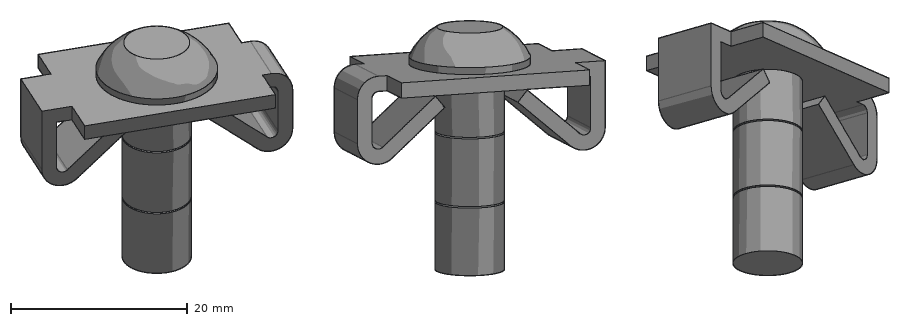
import cadquery as cq
import math

overall_length = 29.97
plate_width = 17.02
plate_length = 22.78
thickness = 1.77
tab_width = 7.7
bend_radius = 2.55
inner_radius = bend_radius - thickness
hook_depth = 10.2
leg_angle = math.radians(40.6)
leg_length = 8.4

head_radius = 6.92
head_flat_radius = 3.75
head_height = 4.2
head_rim_height = 0.8

shank_radius = 3.95
shank_bottom = -23.83
segment_pitch = 8.0
segment_gap = 0.18
segment_length = segment_pitch - segment_gap
loose_segment_count = 2
stub_bottom = shank_bottom + loose_segment_count * segment_pitch


def make_plate():
    return (
        cq.Workplane("XY")
        .rect(plate_width, plate_length)
        .extrude(-thickness)
    )


def make_hook(rounded_top):
    """Tab at the +Y end: out, down, around the bend and back up along a sloping leg."""
    end = overall_length / 2
    root = plate_length / 2
    bend_y = end - bend_radius
    bend_z = bend_radius - hook_depth

    def on_bend(radius, angle):
        return (bend_y + radius * math.cos(angle), bend_z + radius * math.sin(angle))

    def along_leg(point):
        y, z = point
        return (y - leg_length * math.cos(leg_angle), z + leg_length * math.sin(leg_angle))

    stop_angle = -math.pi / 2 - leg_angle
    middle_angle = stop_angle / 2
    outer_stop = on_bend(bend_radius, stop_angle)
    inner_stop = on_bend(inner_radius, stop_angle)

    hook = (
        cq.Workplane("YZ")
        .moveTo(root, 0)
        .lineTo(end, 0)
        .lineTo(end, bend_z)
        .threePointArc(on_bend(bend_radius, middle_angle), outer_stop)
        .lineTo(*along_leg(outer_stop))
        .lineTo(*along_leg(inner_stop))
        .lineTo(*inner_stop)
        .threePointArc(on_bend(inner_radius, middle_angle), (end - thickness, bend_z))
        .lineTo(end - thickness, -thickness)
        .lineTo(root, -thickness)
        .close()
        .extrude(tab_width / 2, both=True)
    )
    if rounded_top:
        outer_corner = cq.selectors.NearestToPointSelector((0, end, 0))
        inner_corner = cq.selectors.NearestToPointSelector((0, end - thickness, -thickness))
        hook = hook.edges(outer_corner).fillet(bend_radius)
        hook = hook.edges(inner_corner).fillet(inner_radius)
    return hook


def make_head():
    """Low cylindrical rim with a flat-topped spherical dome."""
    dome_height = head_height - head_rim_height
    center_offset = (head_flat_radius**2 + dome_height**2 - head_radius**2) / (2 * dome_height)
    center_z = head_rim_height + center_offset
    sphere_radius = math.hypot(head_radius, center_offset)
    middle_z = head_rim_height + dome_height / 2
    middle_radius = math.sqrt(sphere_radius**2 - (middle_z - center_z) ** 2)
    return (
        cq.Workplane("XZ")
        .lineTo(head_radius, 0)
        .lineTo(head_radius, head_rim_height)
        .threePointArc((middle_radius, middle_z), (head_flat_radius, head_height))
        .lineTo(0, head_height)
        .close()
        .revolve(360, (0, 0, 0), (0, 1, 0))
    )


def make_shank_segment(bottom, length):
    return cq.Workplane("XY").workplane(offset=bottom).circle(shank_radius).extrude(length)


def make_clip():
    """Plate, hooks, head and the upper shank stub form one body."""
    front_hook = make_hook(rounded_top=False).mirror("XZ")
    back_hook = make_hook(rounded_top=True)
    stub = make_shank_segment(stub_bottom, -stub_bottom)
    return make_plate().union(front_hook).union(back_hook).union(stub).union(make_head())


clip = make_clip()
shank_segments = [
    make_shank_segment(shank_bottom + index * segment_pitch, segment_length)
    for index in range(loose_segment_count)
]

result = cq.Compound.makeCompound([clip.solids().val(), *[segment.val() for segment in shank_segments]])